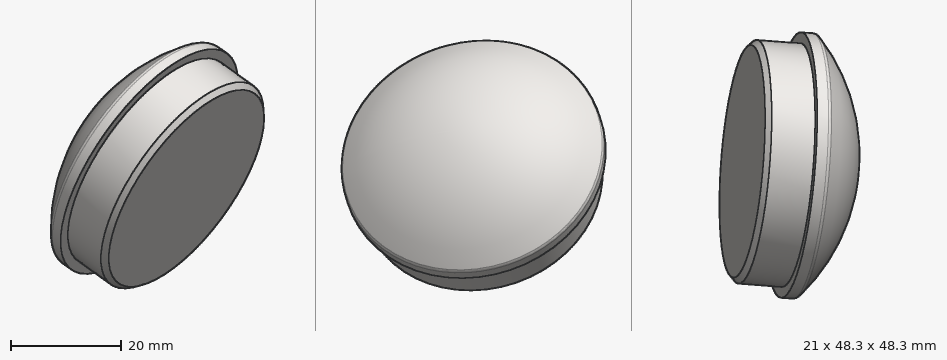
import cadquery as cq
import math

flange_radius = 24.15
dome_radius = 35.2
rim_fillet = 0.8
plug_radius = 22.15
plug_chamfer = 1.0
flange_back = 12.0
total_length = 21.0


def dome_x(radius):
    """Axial position of the dome surface at a given distance from the axis."""
    return dome_radius - math.sqrt(dome_radius**2 - radius**2)


profile = (
    cq.Workplane("XY")
    .moveTo(0, 0)
    .threePointArc(
        (dome_x(flange_radius / 2), flange_radius / 2),
        (dome_x(flange_radius), flange_radius),
    )
    .lineTo(flange_back, flange_radius)
    .lineTo(flange_back, plug_radius)
    .lineTo(total_length, plug_radius)
    .lineTo(total_length, 0)
    .close()
)
body = profile.revolve(360, (0, 0, 0), (1, 0, 0))

body = body.faces(">X").edges().chamfer(plug_chamfer)

rim_margin = 0.05
rim_selector = cq.selectors.BoxSelector(
    (dome_x(flange_radius) - rim_margin, -2 * flange_radius, -2 * flange_radius),
    (dome_x(flange_radius) + rim_margin, 2 * flange_radius, 2 * flange_radius),
)
result = body.edges(rim_selector).edges("%CIRCLE").fillet(rim_fillet)